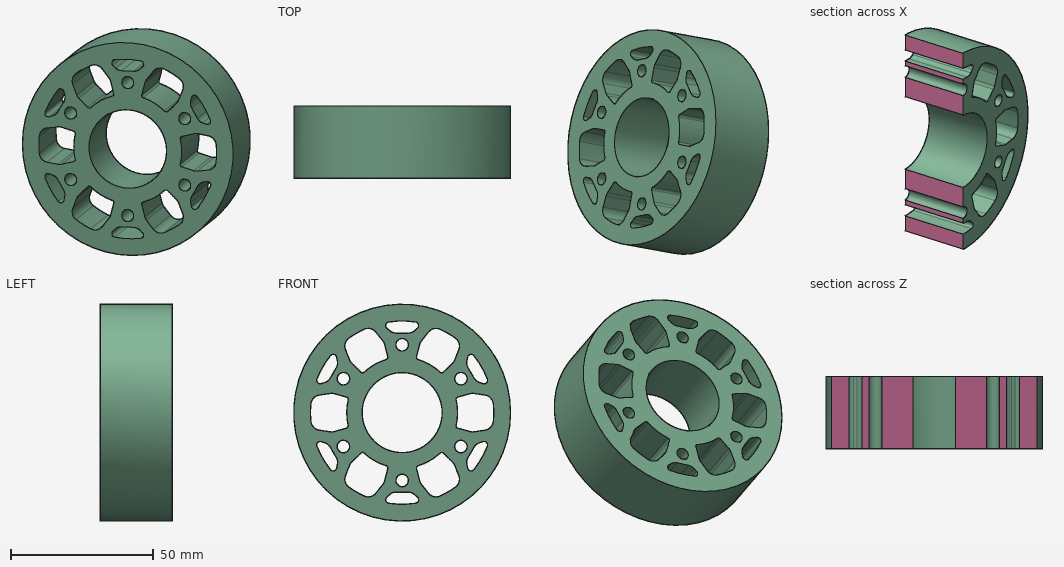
import cadquery as cq
import math

OUTER_DIAMETER = 76.2
THICKNESS = 25.4
BORE_DIAMETER = 28.0

PATTERN_COUNT = 6
PATTERN_ANGLE = 360.0 / PATTERN_COUNT
RIM_RADIUS = 32.12
HUB_RADIUS = 19.5

HOLE_DIAMETER = 4.3
HOLE_CIRCLE_DIAMETER = 47.625

WINDOW_HUB_HALF_WIDTH = 5.2
WINDOW_KNEE_RADIUS = 24.5
WINDOW_KNEE_HALF_WIDTH = 6.8
WINDOW_RIM_HALF_WIDTH = 5.75
WINDOW_HUB_FILLET = 0.8
WINDOW_KNEE_FILLET = 3.0
WINDOW_RIM_FILLET = 3.4

SLOT_FLOOR_RADIUS = 27.95
SLOT_FLOOR_HALF_WIDTH = 3.4
SLOT_RIM_HALF_WIDTH = 7.15
SLOT_FLOOR_FILLET = 3.2
SLOT_RIM_FILLET = 1.2


def distance_along(radius, half_width):
    """Distance from the disc centre to the chord of the given half width."""
    return math.sqrt(radius**2 - half_width**2)


def back_plane():
    """Sketch plane on the back face; extrusions run from it through to the front face."""
    return cq.Workplane("XZ", origin=(0, THICKNESS / 2, 0))


def fillet_pair(body, distance, half_width, radius):
    """Round the two edges along Y at (distance, +half_width) and (distance, -half_width)."""
    for z in (half_width, -half_width):
        corner = cq.selectors.NearestToPointSelector((distance, 0, z))
        body = body.edges("|Y").edges(corner).fillet(radius)
    return body


def make_disc():
    disc = back_plane().circle(OUTER_DIAMETER / 2).circle(BORE_DIAMETER / 2)
    return disc.extrude(THICKNESS)


def make_screw_hole():
    hole = back_plane().center(HOLE_CIRCLE_DIAMETER / 2, 0).circle(HOLE_DIAMETER / 2)
    return hole.extrude(THICKNESS)


def make_window():
    """Window centred on +X."""
    hub_x = distance_along(HUB_RADIUS, WINDOW_HUB_HALF_WIDTH)
    rim_x = distance_along(RIM_RADIUS, WINDOW_RIM_HALF_WIDTH)
    window = (
        back_plane()
        .moveTo(hub_x, -WINDOW_HUB_HALF_WIDTH)
        .lineTo(WINDOW_KNEE_RADIUS, -WINDOW_KNEE_HALF_WIDTH)
        .lineTo(rim_x, -WINDOW_RIM_HALF_WIDTH)
        .threePointArc((RIM_RADIUS, 0), (rim_x, WINDOW_RIM_HALF_WIDTH))
        .lineTo(WINDOW_KNEE_RADIUS, WINDOW_KNEE_HALF_WIDTH)
        .lineTo(hub_x, WINDOW_HUB_HALF_WIDTH)
        .threePointArc((HUB_RADIUS, 0), (hub_x, -WINDOW_HUB_HALF_WIDTH))
        .close()
        .extrude(THICKNESS)
    )
    window = fillet_pair(window, hub_x, WINDOW_HUB_HALF_WIDTH, WINDOW_HUB_FILLET)
    window = fillet_pair(window, WINDOW_KNEE_RADIUS, WINDOW_KNEE_HALF_WIDTH, WINDOW_KNEE_FILLET)
    return fillet_pair(window, rim_x, WINDOW_RIM_HALF_WIDTH, WINDOW_RIM_FILLET)


def make_slot():
    """Small opening centred on +X."""
    rim_x = distance_along(RIM_RADIUS, SLOT_RIM_HALF_WIDTH)
    slot = (
        back_plane()
        .moveTo(SLOT_FLOOR_RADIUS, -SLOT_FLOOR_HALF_WIDTH)
        .lineTo(rim_x, -SLOT_RIM_HALF_WIDTH)
        .threePointArc((RIM_RADIUS, 0), (rim_x, SLOT_RIM_HALF_WIDTH))
        .lineTo(SLOT_FLOOR_RADIUS, SLOT_FLOOR_HALF_WIDTH)
        .close()
        .extrude(THICKNESS)
    )
    slot = fillet_pair(slot, SLOT_FLOOR_RADIUS, SLOT_FLOOR_HALF_WIDTH, SLOT_FLOOR_FILLET)
    return fillet_pair(slot, rim_x, SLOT_RIM_HALF_WIDTH, SLOT_RIM_FILLET)


def turned(body, angle):
    """Turn a body about the disc axis."""
    return body.rotate((0, 0, 0), (0, 1, 0), angle)


result = make_disc()
window = make_window()
slot = make_slot()
screw_hole = make_screw_hole()
for index in range(PATTERN_COUNT):
    window_angle = index * PATTERN_ANGLE
    web_angle = window_angle + PATTERN_ANGLE / 2
    result = result.cut(turned(window, window_angle))
    result = result.cut(turned(slot, web_angle))
    result = result.cut(turned(screw_hole, web_angle))